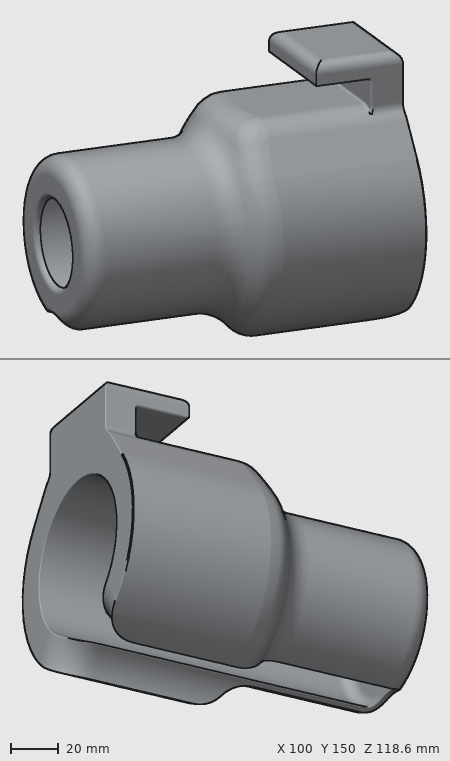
import cadquery as cq
import math

body_radius = 150 / 3
corner_radius = 15.0
step_y = -75.0
step_radius = 15.0
nose_radius = 37.5
nose_tip_radius = 8.0
nose_tip_y = -150.0
back_edge_radius = 0.5

wall = 2.5
bore_radius = 19.0
chamber_radius = nose_radius - wall

groove_radius = 20.0
groove_drop = 50.5
groove_flare = 16.5
groove_edge_radius = 0.5

hook_width = body_radius
hook_length = 40.0
hook_rise = 22.6
hook_plate = 10.0
hook_post = 15.0
hook_top_radius = 5.0
hook_edge_radius = 1.0
foot_radius = 5.0
hook_base = 37.5
hook_top = body_radius + hook_rise
hook_underside = hook_top - hook_plate

beyond = 2 * body_radius
margin = 0.02


def arc_middle(center, radius, angle):
    """Point at an angle in degrees on an arc about a (y, radius) center."""
    turn = math.radians(angle)
    return (center[0] + radius * math.cos(turn), center[1] + radius * math.sin(turn))


def spin(profile):
    """Closes a (y, radius) profile and revolves it about the Y axis."""
    return profile.close().revolve(360, (0, 0, 0), (1, 0, 0))


def box_around(x_half, y_range, z_range):
    """Selects what lies wholly inside a box centered on X."""
    return cq.selectors.BoxSelector(
        (-x_half - margin, y_range[0] - margin, z_range[0] - margin),
        (x_half + margin, y_range[1] + margin, z_range[1] + margin),
        boundingbox=True,
    )


def outline_prism():
    """The top flat and two sloping flats are all tangent to the same circle."""
    top_half = body_radius / 2
    tangent_x = 0.8 * body_radius
    tangent_z = 0.6 * body_radius
    return (
        cq.Workplane("XZ")
        .moveTo(-top_half, body_radius)
        .lineTo(top_half, body_radius)
        .lineTo(tangent_x, tangent_z)
        .threePointArc((0, -body_radius), (-tangent_x, tangent_z))
        .close()
        .extrude(-nose_tip_y)
    )


def stepped_envelope():
    """Clears the outline behind the step and turns the nose in front of it."""
    flare = (step_y - step_radius, nose_radius + step_radius)
    tip = (nose_tip_y + nose_tip_radius, nose_radius - nose_tip_radius)
    rim = arc_middle(flare, step_radius, 15)
    return spin(
        cq.Workplane("YZ")
        .lineTo(0, beyond)
        .lineTo(rim[0], beyond)
        .lineTo(*rim)
        .threePointArc(arc_middle(flare, step_radius, -45), (flare[0], nose_radius))
        .lineTo(tip[0], nose_radius)
        .threePointArc(arc_middle(tip, nose_tip_radius, 135), (nose_tip_y, tip[1]))
        .lineTo(nose_tip_y, 0)
    ).rotate((0, 0, 0), (0, 1, 0), 180)


def outer_body():
    body = outline_prism().intersect(stepped_envelope())
    rim_depth = 1.5
    step_rim = box_around(beyond, (step_y - rim_depth, step_y + rim_depth), (-beyond, beyond))
    body = body.edges("|Y and >Z").fillet(corner_radius)
    return body.edges(step_rim).fillet(step_radius)


def hook():
    blank = (
        cq.Workplane("YZ")
        .moveTo(0, hook_base)
        .lineTo(0, hook_top)
        .lineTo(-hook_length, hook_top)
        .lineTo(-hook_length, hook_underside)
        .lineTo(-hook_post, hook_underside)
        .lineTo(-hook_post, hook_base)
        .close()
        .extrude(hook_width / 2, both=True)
    )
    return blank.faces(">Z").edges().fillet(hook_top_radius)


def round_hook_edges(body):
    half = hook_width / 2
    foot_sides = box_around(half, (-hook_post, 0), (hook_base, body_radius - 1.5))
    body = body.edges(foot_sides).edges("|Y").fillet(foot_radius)
    post_front = box_around(half + foot_radius, (-hook_post, -hook_post), (hook_base, hook_underside))
    underside = box_around(half, (-hook_length, -hook_post), (hook_underside, hook_underside))
    return body.edges(post_front + underside).fillet(hook_edge_radius)


def round_back_edges(body):
    below_top = (-body_radius, hook_top - hook_top_radius - 1.5)
    return body.edges(box_around(body_radius, (0, 0), below_top)).fillet(back_edge_radius)


def chamber():
    """Cavity one wall inside the nose, with the bore and its round lip."""
    inner_radius = nose_tip_radius - wall
    inner_y = nose_tip_y + wall
    corner = (inner_y + inner_radius, chamber_radius - inner_radius)
    lip = (inner_y, bore_radius + wall)
    return spin(
        cq.Workplane("YZ")
        .lineTo(0, chamber_radius)
        .lineTo(corner[0], chamber_radius)
        .threePointArc(arc_middle(corner, inner_radius, 135), (inner_y, corner[1]))
        .lineTo(inner_y, bore_radius)
        .threePointArc(arc_middle(lip, wall, -135), (nose_tip_y, lip[1]))
        .lineTo(nose_tip_y, 0)
    )


def groove():
    flare = (-groove_flare, groove_radius + groove_flare)
    return spin(
        cq.Workplane("YZ")
        .lineTo(0, flare[1])
        .threePointArc(arc_middle(flare, groove_flare, -45), (flare[0], groove_radius))
        .lineTo(nose_tip_y, groove_radius)
        .lineTo(nose_tip_y, 0)
    ).translate((0, 0, -groove_drop))


def round_groove_edges(body):
    """Eases the two straight edges where the groove breaks into the chamber."""
    bottom_z = (-chamber_radius, -bore_radius)
    chamber_floor = box_around(bore_radius, (nose_tip_y, 0), bottom_z)
    return body.edges(chamber_floor).edges("|Y").fillet(groove_edge_radius)


def make_housing():
    body = outer_body().union(hook())
    body = round_hook_edges(body)
    body = round_back_edges(body)
    body = body.cut(chamber()).cut(groove())
    return round_groove_edges(body)


housing = make_housing()
result = cq.Compound.makeCompound([housing.val()])